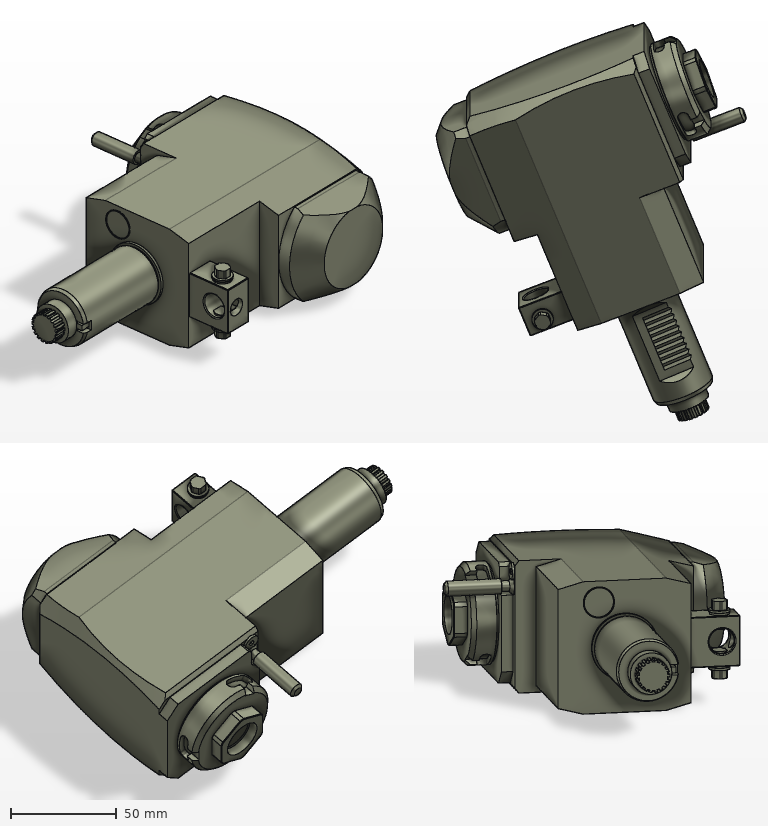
import cadquery as cq
import math


HALF_HEIGHT = 32.0
TAPER_START = 20.0
TAPER = math.tan(math.radians(15))
NECK_HALF_WIDTH = 32.0
HEAD_FRONT_Y = 51.1
HEAD_BACK_Y = 114.8
HEAD_LEFT_X = -42.2
HEAD_RIGHT_X = 43.9
HEAD_EDGE_CHAMFER = 1.8
HEAD_EDGE_DROP = 2.4
HEAD_CORNER_CHAMFER = 3.1
DOME_RADIUS = 194.7
DOME_APEX_X = -11.0
DOME_APEX_Y_AT_TOP = 112.3
PLUG_X, PLUG_Z, PLUG_RADIUS = -12.4, 21.7, 7.5
PLUG_GROOVE_WIDTH = 0.4
PLUG_GROOVE_DEPTH = 0.5

SPINDLE_Y = 84.8
COVER_RADIUS = 33.5
COVER_CONE_X = 50.6
COVER_END_X = 61.5
COVER_END_RADIUS = 21.1
COVER_BACK_Y = 110.8
COVER_BAND_END_X = 46.0

PLATE_LEFT_X = -47.9
PLATE_FRONT_Y = 55.5
PLATE_HALF_HEIGHT = 29.3
PLATE_CORNER = 7.0

NUT_LEFT_X = -61.0
NUT_RADIUS = 24.5
NUT_CHAMFER = 2.2
NUT_NECK_RADIUS = 23.5
NUT_NECK_LENGTH = 1.1
NUT_SLOT_COUNT = 3
NUT_SLOT_WIDTH = 6.2
NUT_SLOT_FLOOR = 21.7
NUT_SLOT_END_X = -54.6
POCKET_X = -53.0
POCKET_WIDTH = 5.3
POCKET_LENGTH = 16.7

HEX_LEFT_X = -67.5
HEX_ACROSS_FLATS = 27.0
HEX_TIP_RADIUS = 15.0
HEX_CHAMFER = 0.4
BORE_RADIUS = 9.5
BORE_DEPTH = 5.5
BORE_CHAMFER = 0.5

PIN_Y, PIN_Z, PIN_RADIUS = 56.2, 19.0, 3.6
PIN_LEFT_X = -75.3
PIN_RIGHT_X = -48.2
PIN_CHAMFER = 1.3
PIN_NECK_RADIUS = 2.5
PIN_CONE_X = -44.2
RECESS_RADIUS = 4.4
SCREW_Z = 25.8
SCREW_RADIUS = 4.2
SCREW_HEIGHT = 1.1
SCREW_HEX = 3.0

COLLAR_RADIUS, COLLAR_LENGTH = 16.0, 1.5
UNDERCUT_RADIUS, UNDERCUT_END = 14.5, 2.5
SHANK_RADIUS = 15.1
SHANK_LENGTH = 55.3
SHANK_CHAMFER_LENGTH, SHANK_CHAMFER_HEIGHT = 2.0, 0.7
STUB_RADIUS, STUB_END = 10.0, 61.3
SPLINE_OUTER, SPLINE_INNER, SPLINE_END = 7.8, 7.0, 67.2
SPLINE_TEETH = 18
KEYWAY_WIDTH, KEYWAY_DEPTH, KEYWAY_FLOOR = 5.1, 5.0, 9.8
KEY_WIDTH, KEY_TOP = 3.0, 13.3
RACK_DISTANCE = 12.4
RACK_TILT = 6.0
RACK_START, RACK_END = 7.8, 42.4
RACK_TEETH = 9
RACK_PITCH = 3.1
RACK_TOOTH_DEPTH = 1.0
RACK_FIRST_TOOTH = 12.0
RACK_TOOTH_END_X = 4.5

BLOCK_RIGHT_X = 55.9
BLOCK_FRONT_Y, BLOCK_BACK_Y = 0.7, 15.8
BLOCK_HALF_HEIGHT = 12.2
BLOCK_CHAMFER = 0.4
NOZZLE_X = 47.1
NOZZLE_Y = 7.0
BLOCK_HOLE_RADIUS, BLOCK_HOLE_CHAMFER = 6.2, 0.5
OUTLET_RADIUS = 4.4
NOZZLE_FOOT_RADIUS, NOZZLE_FOOT_HEIGHT = 4.7, 1.1
NOZZLE_FLANGE_RADIUS, NOZZLE_FLANGE_HEIGHT = 5.1, 2.2
NOZZLE_ACROSS_FLATS, NOZZLE_TIP_RADIUS, NOZZLE_HEIGHT = 7.1, 3.8, 6.5
NOZZLE_STUB_RADIUS, NOZZLE_STUB_Z = 4.2, 5.3


def taper_height(x):
    """Half height of the housing on its tapered side at distance x from the shank axis."""
    return HALF_HEIGHT - TAPER * (abs(x) - TAPER_START)


def x_cylinder(x_start, x_end, radius, y, z=0.0):
    return cq.Workplane("YZ", origin=(x_start, y, z)).circle(radius).extrude(x_end - x_start)


def box(x0, x1, y0, y1, z0, z1):
    return cq.Workplane("XY").box(x1 - x0, y1 - y0, z1 - z0, centered=False).translate((x0, y0, z0))


def xz_prism(points, y0, y1):
    return cq.Workplane("XZ", origin=(0, y0, 0)).polyline(points).close().extrude(y0 - y1)


def turned_about_x(points, y=0.0, z=0.0):
    """Revolve (x, radius) points about an axis along X."""
    profile = [(points[0][0], 0)] + list(points) + [(points[-1][0], 0)]
    return cq.Workplane("XY").polyline(profile).close().revolve(360, (0, 0), (1, 0)).translate((0, y, z))


def mirrored_outline(upper_points):
    """Close an outline that is symmetric about Z = 0."""
    return upper_points + [(x, -z) for x, z in reversed(upper_points)]


def make_neck():
    edge = taper_height(NECK_HALF_WIDTH)
    outline = mirrored_outline([
        (-NECK_HALF_WIDTH, edge),
        (-TAPER_START, HALF_HEIGHT),
        (TAPER_START, HALF_HEIGHT),
        (NECK_HALF_WIDTH, edge),
    ])
    neck = xz_prism(outline, 0, HEAD_FRONT_Y)
    groove = cq.Workplane("XZ", origin=(PLUG_X, 0, PLUG_Z)).circle(PLUG_RADIUS)
    groove = groove.circle(PLUG_RADIUS - PLUG_GROOVE_WIDTH).extrude(-PLUG_GROOVE_DEPTH)
    return neck.cut(groove)


def make_head():
    outline = mirrored_outline([
        (HEAD_LEFT_X, HALF_HEIGHT - HEAD_EDGE_DROP),
        (HEAD_LEFT_X + HEAD_EDGE_CHAMFER, HALF_HEIGHT),
        (TAPER_START, HALF_HEIGHT),
        (HEAD_RIGHT_X, taper_height(HEAD_RIGHT_X)),
    ])
    head = xz_prism(outline, HEAD_FRONT_Y, HEAD_BACK_Y)
    head = head.edges("|Z and >X and >Y").chamfer(HEAD_CORNER_CHAMFER)
    half_length = 2 * HEAD_BACK_Y
    inward = DOME_RADIUS * math.sqrt(0.5)
    for side in (1, -1):
        axis = cq.Vector(0, 1, -side)
        center = cq.Vector(DOME_APEX_X, DOME_APEX_Y_AT_TOP - inward, side * (HALF_HEIGHT - inward))
        plane = cq.Plane(origin=center, xDir=(1, 0, 0), normal=axis)
        head = head.intersect(cq.Workplane(plane).circle(DOME_RADIUS).extrude(half_length, both=True))
    return head


def make_cover():
    cover = turned_about_x([
        (HEAD_RIGHT_X, COVER_RADIUS),
        (COVER_CONE_X, COVER_RADIUS),
        (COVER_END_X, COVER_END_RADIUS),
    ], SPINDLE_Y)
    band_height = taper_height(COVER_BAND_END_X)
    envelope = xz_prism(mirrored_outline([
        (HEAD_RIGHT_X, band_height),
        (COVER_BAND_END_X, band_height),
        (COVER_END_X, taper_height(COVER_END_X)),
    ]), 0, COVER_BACK_Y)
    return cover.intersect(envelope)


def make_plate():
    top = PLATE_HALF_HEIGHT
    plate = box(PLATE_LEFT_X, HEAD_LEFT_X, PLATE_FRONT_Y, HEAD_BACK_Y, -top, top)
    plate = plate.edges("|X").chamfer(PLATE_CORNER)
    recess_back_y = PIN_Y + RECESS_RADIUS
    recess = box(PLATE_LEFT_X, HEAD_LEFT_X, PLATE_FRONT_Y, recess_back_y, PIN_Z, top)
    recess = recess.union(x_cylinder(PLATE_LEFT_X, HEAD_LEFT_X, RECESS_RADIUS, PIN_Y, PIN_Z))
    return plate.cut(recess)


def make_nut():
    neck_x = PLATE_LEFT_X - NUT_NECK_LENGTH
    nut = turned_about_x([
        (NUT_LEFT_X, NUT_RADIUS - NUT_CHAMFER),
        (NUT_LEFT_X + NUT_CHAMFER, NUT_RADIUS),
        (neck_x, NUT_RADIUS),
        (neck_x, NUT_NECK_RADIUS),
        (PLATE_LEFT_X, NUT_NECK_RADIUS),
    ])
    half_slot = NUT_SLOT_WIDTH / 2
    slot = box(NUT_LEFT_X, NUT_SLOT_END_X, NUT_SLOT_FLOOR, NUT_RADIUS, -half_slot, half_slot)
    pocket = cq.Workplane("XZ", origin=(POCKET_X, 0, 0)).slot2D(POCKET_LENGTH, POCKET_WIDTH, 90)
    pocket = pocket.extrude(-NUT_RADIUS).cut(x_cylinder(NUT_LEFT_X, PLATE_LEFT_X, NUT_SLOT_FLOOR, 0))
    wrench_cut = slot.union(pocket)
    for i in range(NUT_SLOT_COUNT):
        nut = nut.cut(wrench_cut.rotate((0, 0, 0), (1, 0, 0), i * 360 / NUT_SLOT_COUNT))
    return nut.translate((0, SPINDLE_Y, 0))


def trimmed_hexagon(across_flats, tip_radius, height):
    """Hexagon along Z with its corners, two of them on the Y axis, rounded off to tip_radius."""
    corner_diameter = across_flats / math.cos(math.pi / 6)
    hexagon = cq.Workplane("XY").polygon(6, corner_diameter).extrude(height).rotate((0, 0, 0), (0, 0, 1), 90)
    return hexagon.intersect(cq.Workplane("XY").circle(tip_radius).extrude(height))


def make_hexagon():
    hexagon = trimmed_hexagon(HEX_ACROSS_FLATS, HEX_TIP_RADIUS, NUT_LEFT_X - HEX_LEFT_X)
    hexagon = hexagon.faces(">Z").chamfer(HEX_CHAMFER)
    hexagon = hexagon.rotate((0, 0, 0), (0, 1, 0), -90).rotate((0, 0, 0), (1, 0, 0), 90)
    return hexagon.translate((NUT_LEFT_X, SPINDLE_Y, 0))


def make_bore():
    return turned_about_x([
        (HEX_LEFT_X, BORE_RADIUS),
        (HEX_LEFT_X + BORE_DEPTH - BORE_CHAMFER, BORE_RADIUS),
        (HEX_LEFT_X + BORE_DEPTH, BORE_RADIUS - BORE_CHAMFER),
    ], SPINDLE_Y)


def make_pin():
    cone_growth = RECESS_RADIUS - PIN_NECK_RADIUS
    return turned_about_x([
        (PIN_LEFT_X, PIN_RADIUS - PIN_CHAMFER),
        (PIN_LEFT_X + PIN_CHAMFER, PIN_RADIUS),
        (PIN_RIGHT_X, PIN_RADIUS),
        (PIN_RIGHT_X, PIN_NECK_RADIUS),
        (PIN_CONE_X, PIN_NECK_RADIUS),
        (PIN_CONE_X + cone_growth, RECESS_RADIUS),
        (HEAD_LEFT_X, RECESS_RADIUS),
    ], PIN_Y, PIN_Z)


def make_screw():
    screw_x = HEAD_LEFT_X - SCREW_HEIGHT
    screw = x_cylinder(screw_x, HEAD_LEFT_X + HEAD_EDGE_CHAMFER, SCREW_RADIUS, PIN_Y, SCREW_Z)
    socket = cq.Workplane("YZ", origin=(screw_x, PIN_Y, SCREW_Z)).polygon(6, SCREW_HEX).extrude(SCREW_HEIGHT)
    return screw.cut(socket)


def make_rack_cut():
    """Ramped flat with V grooves across it, shaped facing -Z and then tilted about the shank axis."""
    depth = SHANK_RADIUS - RACK_DISTANCE
    flat = cq.Workplane("YZ", origin=(-SHANK_RADIUS, 0, 0)).polyline([
        (-RACK_START, -RACK_DISTANCE),
        (-RACK_START + depth, -SHANK_RADIUS),
        (-RACK_END - depth, -SHANK_RADIUS),
        (-RACK_END, -RACK_DISTANCE),
    ]).close().extrude(2 * SHANK_RADIUS)
    for i in range(RACK_TEETH):
        y = -RACK_FIRST_TOOTH - i * RACK_PITCH
        groove = cq.Workplane("YZ", origin=(-SHANK_RADIUS, 0, 0)).polyline([
            (y - RACK_PITCH / 2, -RACK_DISTANCE),
            (y + RACK_PITCH / 2, -RACK_DISTANCE),
            (y, -RACK_DISTANCE + RACK_TOOTH_DEPTH),
        ]).close().extrude(SHANK_RADIUS + RACK_TOOTH_END_X)
        flat = flat.union(groove)
    return flat.rotate((0, 0, 0), (0, 1, 0), RACK_TILT)


def make_spline():
    """Toothed end: tooth and gap each take half of the angular pitch."""
    points = []
    for i in range(2 * SPLINE_TEETH):
        radius = SPLINE_OUTER if i % 2 == 0 else SPLINE_INNER
        for offset in (-0.5, 0.5):
            angle = (i + offset) * math.pi / SPLINE_TEETH
            points.append((radius * math.cos(angle), radius * math.sin(angle)))
    return xz_prism(points, -SPLINE_END, -STUB_END)


def make_shank():
    profile = [
        (0, 0),
        (COLLAR_RADIUS, 0),
        (COLLAR_RADIUS, -COLLAR_LENGTH),
        (UNDERCUT_RADIUS, -COLLAR_LENGTH),
        (SHANK_RADIUS, -UNDERCUT_END),
        (SHANK_RADIUS, -SHANK_LENGTH + SHANK_CHAMFER_LENGTH),
        (SHANK_RADIUS - SHANK_CHAMFER_HEIGHT, -SHANK_LENGTH),
        (STUB_RADIUS, -SHANK_LENGTH),
        (STUB_RADIUS, -STUB_END),
        (0, -STUB_END),
    ]
    shank = cq.Workplane("XY").polyline(profile).close().revolve(360, (0, 0), (0, 1))
    keyway_end = KEYWAY_DEPTH - SHANK_LENGTH
    half_slot = KEYWAY_WIDTH / 2
    half_key = KEY_WIDTH / 2
    keyway = box(KEYWAY_FLOOR, SHANK_RADIUS, -SHANK_LENGTH, keyway_end, -half_slot, half_slot)
    keyway = keyway.cut(box(KEYWAY_FLOOR, KEY_TOP, -SHANK_LENGTH, keyway_end, -half_key, half_key))
    return shank.cut(keyway).cut(make_rack_cut()).union(make_spline())


def make_nozzle():
    """Hexagon nozzle on top of the coolant block; its stub reaches down into the block hole."""
    base = cq.Workplane("XY")
    nozzle = trimmed_hexagon(NOZZLE_ACROSS_FLATS, NOZZLE_TIP_RADIUS, NOZZLE_HEIGHT)
    flange = base.workplane(offset=NOZZLE_FOOT_HEIGHT).circle(NOZZLE_FLANGE_RADIUS)
    nozzle = nozzle.union(flange.extrude(NOZZLE_FLANGE_HEIGHT - NOZZLE_FOOT_HEIGHT))
    nozzle = nozzle.union(base.circle(NOZZLE_FOOT_RADIUS).extrude(NOZZLE_FOOT_HEIGHT))
    nozzle = nozzle.union(base.circle(NOZZLE_STUB_RADIUS).extrude(NOZZLE_STUB_Z - BLOCK_HALF_HEIGHT))
    return nozzle.translate((NOZZLE_X, NOZZLE_Y, BLOCK_HALF_HEIGHT))


def make_block():
    top = BLOCK_HALF_HEIGHT
    block = box(NECK_HALF_WIDTH, BLOCK_RIGHT_X, BLOCK_FRONT_Y, BLOCK_BACK_Y, -top, top)
    block = block.edges("not <X").chamfer(BLOCK_CHAMFER)
    hole = cq.Workplane("XZ", origin=(NOZZLE_X, BLOCK_FRONT_Y, 0)).circle(BLOCK_HOLE_RADIUS)
    block = block.cut(hole.extrude(BLOCK_FRONT_Y - BLOCK_BACK_Y))
    block = block.edges("%CIRCLE").chamfer(BLOCK_HOLE_CHAMFER)
    block = block.cut(x_cylinder(NOZZLE_X, BLOCK_RIGHT_X, OUTLET_RADIUS, NOZZLE_Y))
    nozzle = make_nozzle()
    return block.union(nozzle).union(nozzle.mirror("XY"))


result = make_neck()
for feature in (
    make_head(), make_cover(), make_plate(), make_nut(), make_hexagon(),
    make_pin(), make_screw(), make_shank(), make_block(),
):
    result = result.union(feature)
result = result.cut(make_bore())